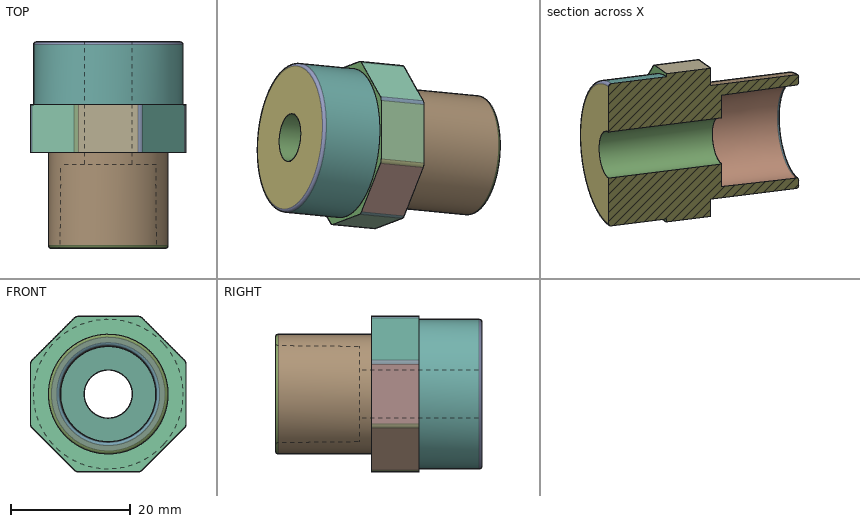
import cadquery as cq
import math


spigot_diameter = 20.0
socket_size = 16.0
socket_mouth_diameter = 16.2
socket_floor_diameter = 15.9
bore_diameter = 8.0
body_diameter = 25.0
body_length = 10.5
grip_across_flats = 26.0
grip_length = 8.0
grip_corner_radius = 1.0
end_rounding = 0.5

engagement_allowance = 6.0
spigot_length = spigot_diameter / 2 + engagement_allowance
socket_depth = socket_size / 2 + engagement_allowance

spigot_end_y = -spigot_length
body_end_y = grip_length + body_length


def rod(diameter, start_y, end_y):
    """Cylinder on the Y axis between two Y positions."""
    plane = cq.Workplane("XZ", origin=(0, start_y, 0))
    return plane.circle(diameter / 2).extrude(start_y - end_y)


def make_socket():
    """Cone that narrows slightly from the spigot mouth to the socket floor."""
    return cq.Workplane(
        cq.Solid.makeCone(
            socket_mouth_diameter / 2,
            socket_floor_diameter / 2,
            socket_depth,
            pnt=cq.Vector(0, spigot_end_y, 0),
            dir=cq.Vector(0, 1, 0),
        )
    )


def make_spigot():
    spigot = rod(spigot_diameter, spigot_end_y, 0)
    return spigot.cut(make_socket()).faces("<Y").edges().fillet(end_rounding)


def make_grip():
    """Octagonal prism with flats facing X and Z and rounded corners."""
    sides = 8
    half_side_angle = 180 / sides
    corner_diameter = grip_across_flats / math.cos(math.radians(half_side_angle))
    prism = cq.Workplane("XZ").polygon(sides, corner_diameter).extrude(-grip_length)
    prism = prism.rotate((0, 0, 0), (0, 1, 0), half_side_angle)
    return prism.edges("|Y").fillet(grip_corner_radius)


def make_body():
    body = rod(body_diameter, grip_length, body_end_y)
    return body.faces(">Y").edges().fillet(end_rounding)


solid_parts = make_spigot().union(make_grip()).union(make_body())
result = solid_parts.cut(rod(bore_diameter, spigot_end_y, body_end_y))